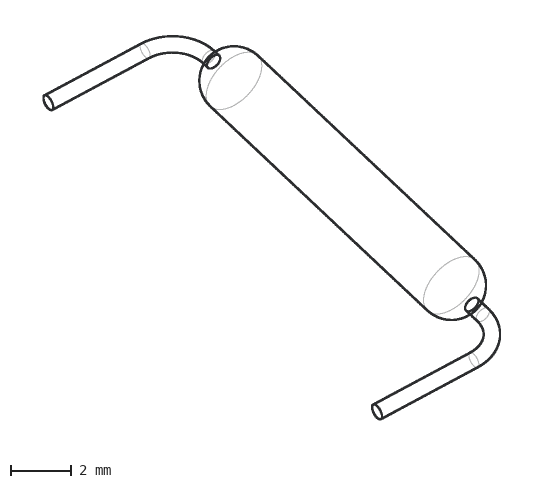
import cadquery as cq

body_diameter = 2.3
body_length = 14.2
body_radius = body_diameter / 2
barrel_length = body_length - body_diameter
body_center_x = -0.17

lead_diameter = 0.55
lead_radius = lead_diameter / 2
lead_pitch = 18.0
lead_reach = 5.5
bend_radius = 1.5

lead_x = lead_pitch / 2
bend_start_x = lead_x - bend_radius

root_distance = barrel_length / 2 + (body_radius**2 - lead_radius**2) ** 0.5


def make_body():
    """Round bar with hemispherical ends, flat where the leads butt against it."""
    outline = (
        cq.Workplane("XY", origin=(body_center_x, 0, 0))
        .moveTo(-root_distance, 0)
        .lineTo(-root_distance, lead_radius)
        .radiusArc((-barrel_length / 2, body_radius), body_radius)
        .lineTo(barrel_length / 2, body_radius)
        .radiusArc((root_distance, lead_radius), body_radius)
        .lineTo(root_distance, 0)
        .close()
    )
    return outline.revolve(360, (0, 0, 0), (1, 0, 0))


def make_lead(side):
    """Wire leaving the body along X and bending to -Y; side is +1 or -1."""
    root_x = body_center_x + side * root_distance
    path = (
        cq.Workplane("XY")
        .moveTo(root_x, 0)
        .lineTo(side * bend_start_x, 0)
        .tangentArcPoint((side * lead_x, -bend_radius), relative=False)
        .lineTo(side * lead_x, -lead_reach)
    )
    return cq.Workplane("YZ", origin=(root_x, 0, 0)).circle(lead_radius).sweep(path)


body = make_body()
leads = [make_lead(side) for side in (-1, 1)]

result = cq.Compound.makeCompound([body.val(), *[lead.val() for lead in leads]])